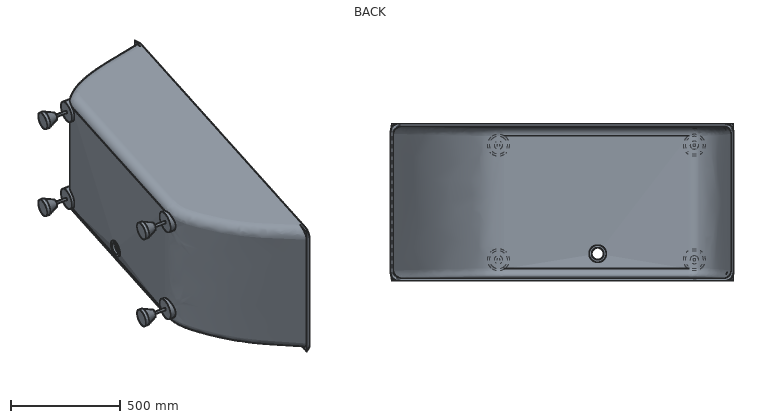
import cadquery as cq
import math


length = 1573.0
width = 720.0
overall_depth = 605.0
tub_depth = 465.0
wall = 11.0
side_draft = 1.3
edge_radius = 47.0

floor_left = -580.0
floor_right = 266.0
heel_length = 52.0
heel_rise = 20.0
foot_end_lean = 0.24
backrest_lean = 0.75
foot_end_middle = (-742.0, -212.0)
backrest_low = (428.0, -406.0)
backrest_low_slope = (1, 0.65)
backrest_middle = (602.0, -250.0)
backrest_middle_slope = (1, 1.15)

rim_height = 13.0
rim_lean_left = 2.0
rim_lean_right = 6.0
rim_corner_radius = 40.0
sharp_corner_radius = 0.8

drain_x = -164.0
drain_z = -236.0
drain_radius = 40.0
drain_hole_radius = 27.0
floor_fall = 11.0
drain_bottom = -480.0
drain_height = 15.0
floor_border = 44.0

leg_xs = (-605.0, 293.0)
leg_zs = (-263.0, 263.0)
pad_radius = 50.0
pad_bottom = -480.0
pad_top = -407.0
rod_radius = 6.0
foot_top = -540.0
foot_top_radius = 19.0
foot_radius = 41.0
foot_sole = 17.0

floor_y = -tub_depth
overrun = 31.0
side_slope = math.tan(math.radians(side_draft))
heel_angle = 2 * math.atan(heel_rise / heel_length)
heel_radius = heel_length / math.sin(heel_angle)
half_floor = width / 2 - tub_depth * side_slope


def cylinder(x, z, radius, y_low, y_high):
    """Round bar along Y."""
    base = cq.Vector(x, y_low, z)
    return cq.Workplane(cq.Solid.makeCylinder(radius, y_high - y_low, base, cq.Vector(0, 1, 0)))


def set_in(point, direction, inset):
    """Point moved by `inset` to the left of a direction of travel, toward the inside of the tub."""
    x, y = point
    dx, dy = direction
    reach = math.hypot(dx, dy)
    return (x - inset * dy / reach, y + inset * dx / reach)


def end_profile(inset):
    """Lengthwise outline of the tub, moved inward by `inset`; the inner one is carried on above the rim."""
    foot_end_slope = (foot_end_lean, -1)
    backrest_slope = (backrest_lean, 1)
    heel_slope = (math.cos(heel_angle), -math.sin(heel_angle))
    half_heel_slope = (math.cos(heel_angle / 2), -math.sin(heel_angle / 2))
    along_floor = (1, 0)

    left_rim = set_in((-length / 2, 0), foot_end_slope, inset)
    left_top = (left_rim[0] - foot_end_lean * overrun, left_rim[1] + overrun)
    foot_end = set_in(foot_end_middle, foot_end_slope, inset)
    heel_start = set_in((floor_left - heel_length, floor_y + heel_rise), heel_slope, inset)
    heel_middle = set_in(
        (
            floor_left - heel_radius * math.sin(heel_angle / 2),
            floor_y + heel_radius * (1 - math.cos(heel_angle / 2)),
        ),
        half_heel_slope,
        inset,
    )
    backrest_bend = set_in(backrest_low, backrest_low_slope, inset)
    backrest = set_in(backrest_middle, backrest_middle_slope, inset)
    right_rim = set_in((length / 2, 0), backrest_slope, inset)
    right_top = (right_rim[0] + backrest_lean * overrun, right_rim[1] + overrun)
    outline = (
        cq.Workplane("XY", origin=(0, 0, -width))
        .moveTo(*left_rim)
        .spline([foot_end, heel_start], tangents=[foot_end_slope, heel_slope], includeCurrent=True)
        .threePointArc(heel_middle, (floor_left, floor_y + inset))
        .lineTo(floor_right, floor_y + inset)
        .spline(
            [backrest_bend, backrest, right_rim],
            tangents=[along_floor, backrest_slope],
            includeCurrent=True,
        )
    )
    if inset:
        outline = outline.lineTo(*right_top).lineTo(*left_top)
    return outline.close()


def side_limits(inset):
    """Long wedge between the two leaning sides, moved inward by `inset`."""
    y_low = floor_y - overrun
    y_high = 2 * overrun
    half_low = width / 2 - inset + y_low * side_slope
    half_high = width / 2 - inset + y_high * side_slope
    return (
        cq.Workplane("YZ", origin=(-length, 0, 0))
        .polyline([(y_low, -half_low), (y_low, half_low), (y_high, half_high), (y_high, -half_high)])
        .close()
        .extrude(2 * length)
    )


def tub_form(inset):
    """Form of the tub, moved inward by `inset`, with rounded edges along both long sides."""
    form = end_profile(inset).extrude(2 * width).intersect(side_limits(inset))
    for side in ("<Z", ">Z"):
        form = form.faces(side).edges("not >Y").fillet(edge_radius - inset)
    return form


def rim_outline(x_left, x_right, half_width, y, corner_radius):
    """Rectangle with rounded corners, level at `y`."""
    center = ((x_left + x_right) / 2, y, 0)
    rectangle = cq.Workplane("XZ", origin=center).rect(x_right - x_left, 2 * half_width)
    return rectangle.val().fillet2D(corner_radius, rectangle.val().Vertices())


def rim():
    """Band round the rim: square-cornered below, opening to rounded corners at the top."""
    low_half = width / 2 - rim_height * side_slope
    low_left = rim_lean_left - length / 2
    low_right = length / 2 - rim_lean_right
    low_edge = rim_outline(low_left, low_right, low_half, -rim_height, sharp_corner_radius)
    top_edge = rim_outline(-length / 2, length / 2, width / 2, 0, rim_corner_radius)
    return cq.Workplane(cq.Solid.makeLoft([low_edge, top_edge], True))


def sloping_floor(inset):
    """Shallow pyramid under the floor, falling to the drain."""
    base_y = floor_y + inset
    half = half_floor - floor_border
    apex = (drain_x, base_y - floor_fall, drain_z)
    corners = [
        (floor_left, base_y, -half),
        (floor_right, base_y, -half),
        (floor_right, base_y, half),
        (floor_left, base_y, half),
    ]
    outlines = [corners]
    for start, end in zip(corners, corners[1:] + corners[:1]):
        outlines.append([start, end, apex])
    faces = []
    for points in outlines:
        edges = cq.Wire.makePolygon([cq.Vector(*p) for p in points], close=True)
        faces.append(cq.Face.makeFromWires(edges))
    return cq.Workplane(cq.Solid.makeSolid(cq.Shell.makeShell(faces)))


def leg(x, z):
    """Pad under the tub, threaded rod and conical foot."""
    pad = cylinder(x, z, pad_radius, pad_bottom, pad_top)
    rod = cylinder(x, z, rod_radius, foot_top, pad_bottom)
    foot = (
        cq.Workplane("ZY", origin=(x, 0, z))
        .polyline(
            [
                (0, -overall_depth),
                (foot_radius, -overall_depth),
                (foot_radius, foot_sole - overall_depth),
                (foot_top_radius, foot_top),
                (0, foot_top),
            ]
        )
        .close()
        .revolve(360, (0, 0, 0), (0, 1, 0))
    )
    return pad.union(rod).union(foot)


def make_tub():
    """Hollow tub with its rim, sloping floor, drain opening and four legs."""
    tub = tub_form(0).union(rim()).union(sloping_floor(0))
    for x in leg_xs:
        for z in leg_zs:
            tub = tub.union(leg(x, z))
    tub = tub.cut(tub_form(wall)).cut(sloping_floor(wall))
    return tub.cut(cylinder(drain_x, drain_z, drain_radius, drain_bottom, 0))


def make_drain():
    """Ring set in the floor opening."""
    drain_top = drain_bottom + drain_height
    ring = cylinder(drain_x, drain_z, drain_radius, drain_bottom, drain_top)
    return ring.cut(cylinder(drain_x, drain_z, drain_hole_radius, drain_bottom, drain_top))


tub = make_tub()
drain = make_drain()
result = cq.Compound.makeCompound([tub.val(), drain.val()])